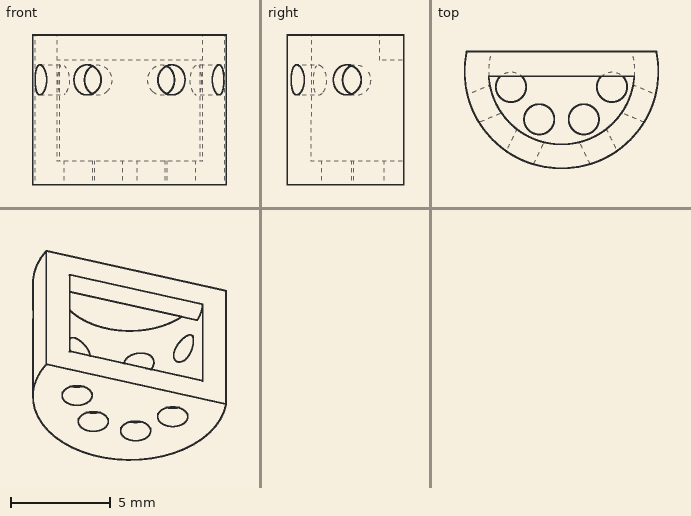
import math
import cadquery as cq

outer_radius = 4.85
inner_radius = 3.65
height = 7.5
back_y = 1.0
floor_thickness = outer_radius - inner_radius
hole_diameter = 1.5

bar_length = 7.78
bar_depth = 1.24
bar_height = bar_depth

wall_hole_z = 5.25
wall_hole_angles = (26.0, 67.5)
floor_hole_radius = 2.64
floor_hole_angles = (25.0, 73.0)


def front_part(body):
    """Keep only the material in front of the flat back face."""
    depth = outer_radius + back_y
    keep = cq.Workplane("XY").box(2 * outer_radius, depth, height, centered=(True, False, False))
    return body.intersect(keep.translate((0, -outer_radius, 0)))


def both_sides(angles):
    """Directions for each angle on the left and right of -Y."""
    return [
        (side * math.sin(math.radians(angle)), -math.cos(math.radians(angle)))
        for angle in angles
        for side in (-1, 1)
    ]


cup = cq.Workplane("XY").circle(outer_radius).extrude(height)
cavity = (
    cq.Workplane("XY")
    .workplane(offset=floor_thickness)
    .circle(inner_radius)
    .extrude(height - floor_thickness)
)
result = front_part(cup.cut(cavity))

bar = cq.Workplane("XY").box(bar_length, bar_depth, bar_height, centered=(True, False, False))
result = result.union(bar.translate((0, back_y - bar_depth, height - bar_height)))

for x, y in both_sides(wall_hole_angles):
    axis = cq.Plane(origin=(0, 0, wall_hole_z), xDir=(0, 0, 1), normal=(x, y, 0))
    hole = cq.Workplane(axis).workplane(offset=inner_radius / 2)
    hole = hole.circle(hole_diameter / 2).extrude(outer_radius)
    result = result.cut(hole)

floor_hole_centers = [
    (floor_hole_radius * x, floor_hole_radius * y) for x, y in both_sides(floor_hole_angles)
]
floor_holes = (
    cq.Workplane("XY")
    .pushPoints(floor_hole_centers)
    .circle(hole_diameter / 2)
    .extrude(floor_thickness)
)
result = result.cut(floor_holes)